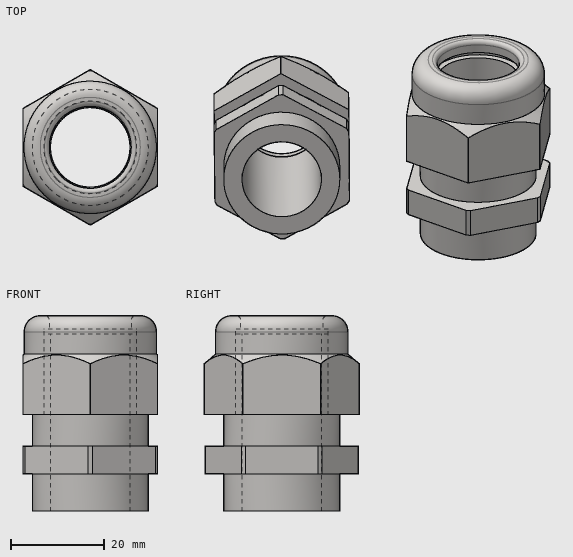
import cadquery as cq
import math

total_height = 42.05
across_flats = 29.0
across_corners = across_flats * 2 / math.sqrt(3)

body_diameter = 25.0
bore_diameter = 17.1
flange_bottom = 8.0
flange_top = 13.95
flange_corner_diameter = 32.95
spigot_diameter = 20.0
spigot_top = 38.07

nut_bottom = 20.8
hex_top = 33.8
hex_corner_diameter = 33.4
hex_chamfer_drop = 2.05
dome_diameter = 28.52
dome_radius = 3.5
nut_opening_diameter = 17.65
opening_radius = 1.0
lip_bottom = 39.2


def cylinder(diameter, bottom, top):
    return cq.Workplane("XY").workplane(offset=bottom).circle(diameter / 2).extrude(top - bottom)


def hexagon(bottom, top):
    """Hexagonal prism with flats facing +X and -X and corners on the Y axis."""
    prism = cq.Workplane("XY").polygon(6, across_corners).extrude(top - bottom)
    return prism.rotate((0, 0, 0), (0, 0, 1), 30).translate((0, 0, bottom))


def make_body():
    """Tube with a hexagonal flange and a narrower spigot inside the nut."""
    barrel = cylinder(body_diameter, 0, nut_bottom)
    spigot = cylinder(spigot_diameter, nut_bottom, spigot_top)
    corner_limit = cylinder(flange_corner_diameter, flange_bottom, flange_top)
    flange = hexagon(flange_bottom, flange_top).intersect(corner_limit)
    bore = cylinder(bore_diameter, 0, spigot_top)
    return barrel.union(spigot).union(flange).cut(bore)


def make_hex_envelope():
    """Turned shape that blunts the nut corners and chamfers them down from the dome."""
    corner_reach = hex_corner_diameter / 2
    return (
        cq.Workplane("XZ")
        .moveTo(0, nut_bottom)
        .lineTo(corner_reach, nut_bottom)
        .lineTo(corner_reach, hex_top - hex_chamfer_drop)
        .lineTo(dome_diameter / 2, hex_top)
        .lineTo(0, hex_top)
        .close()
        .revolve(360, (0, 0, 0), (0, 1, 0))
    )


def make_nut():
    """Hexagonal nut with a domed top, open at the centre above the spigot."""
    hex_section = hexagon(nut_bottom, hex_top).intersect(make_hex_envelope())
    dome = cylinder(dome_diameter, nut_bottom, total_height).faces(">Z").edges().fillet(dome_radius)
    recess = cylinder(spigot_diameter, nut_bottom, lip_bottom)
    opening = cylinder(nut_opening_diameter, lip_bottom, total_height)
    nut = hex_section.union(dome).cut(recess).cut(opening)
    opening_rim = nut.faces(">Z").edges(cq.selectors.RadiusNthSelector(0))
    return opening_rim.fillet(opening_radius)


body = make_body()
nut = make_nut()
result = cq.Compound.makeCompound([body.val(), nut.val()])